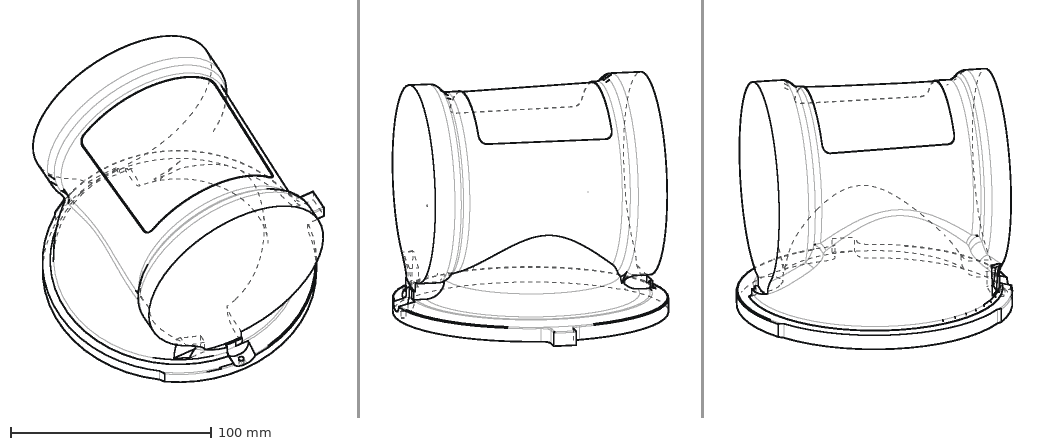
import cadquery as cq
import math

FLANGE_D = 138.0
FLANGE_R = FLANGE_D / 2
FLANGE_H = 7.4
EDGE_ROUND = 0.6
PLATFORM_R = 60.2
PLATFORM_ROUND = 4.5
PLATFORM_Z = 9.6
SLOPE_R = FLANGE_R - EDGE_ROUND

RELIEF_R = 68.0
RELIEF_INNER_ANGLE = 36.9
RELIEF_OUTER_ANGLE = 34.6

TAB_W = 11.5
TAB_END_Y = 79.9
TAB_ROOT_R = 4.7

AXIS_Z = 68.0
LEFT_X = -58.7
RIGHT_X = 59.8
LEFT_COLLAR_R = 50.9
RIGHT_COLLAR_D = 99.5
RIGHT_COLLAR_R = RIGHT_COLLAR_D / 2
BODY_LEFT_X = -36.4
BODY_LEFT_R = 47.2
BODY_RIGHT_X = 41.3
BODY_RIGHT_R = 45.4
LEFT_BLEND_X = -43.8
RIGHT_BLEND_X = 49.9
RIGHT_SLOPE_RUN = 1.5

PANEL_X0 = -33.7
PANEL_X1 = 34.0
PANEL_Z = 95.3
PANEL_CORNER_R = 3.7
PANEL_DEPTH = 0.5

DOME_BASE = (62.6, 10.4)
DOME_MID = (58.3, 39.2)
DOME_TOP = (39.0, 74.0)
DOME_FOOT_R = 1.6
DOME_END_Y = -0.6
BARREL_BLEND_R = 4.9

STEP_R = 60.7
STEP_END_Y = 3.0

NECK_WALL_R = 44.8
NECK_FOOT_R = 9.6
NECK_BLEND_R = 7.4
NECK_TOP = (40.8, 59.2)

CLEARANCE_GAP = 4.6

SEAT_W = 12.6
SEAT_X = 60.7
SEAT_FLOOR_RUN = 1.6
SEAT_Z = 3.7
SEAT_ROUND = 5.2
SCREW_X = 65.1
SCREW_D = 2.5

NOTCH_X = 53.7
NOTCH_TOP_W = 5.3
NOTCH_BOTTOM_W = 3.5
NOTCH_Z0 = 11.7
NOTCH_Z1 = 27.2
NOTCH_FLOOR_Y = -17.2

FAR = 103.5


def polar(radius, degrees):
    angle = math.radians(degrees)
    return (radius * math.cos(angle), radius * math.sin(angle))


def box(x0, x1, y0, y1, z0, z1):
    return cq.Workplane("XY").box(x1 - x0, y1 - y0, z1 - z0, centered=False).translate((x0, y0, z0))


def make_flange():
    """Round flange with a tab, a sloped raised platform and a relieved rim."""
    disc = cq.Workplane("XY").circle(FLANGE_R).extrude(FLANGE_H)
    tab = box(-TAB_W / 2, TAB_W / 2, 0, TAB_END_Y, 0, FLANGE_H)
    flange = disc.union(tab)
    root = cq.selectors.BoxSelector((-TAB_W, 0, 0), (TAB_W, FLANGE_R, FLANGE_H))
    flange = flange.edges("|Z").edges(root).fillet(TAB_ROOT_R)
    flange = flange.faces(">Z").edges().fillet(EDGE_ROUND)
    platform = (
        cq.Workplane("XZ")
        .polyline([(0, 0), (SLOPE_R, 0), (SLOPE_R, FLANGE_H), (PLATFORM_R, PLATFORM_Z), (0, PLATFORM_Z)])
        .close()
        .revolve(360, (0, 0), (0, 1))
    )
    platform = platform.faces(">Z").edges().fillet(PLATFORM_ROUND)
    relief = (
        cq.Workplane("XY")
        .moveTo(*polar(RELIEF_R, 180 + RELIEF_INNER_ANGLE))
        .threePointArc((0, -RELIEF_R), polar(RELIEF_R, -RELIEF_INNER_ANGLE))
        .lineTo(*polar(FLANGE_R, -RELIEF_OUTER_ANGLE))
        .lineTo(*polar(FAR, -RELIEF_OUTER_ANGLE))
        .lineTo(0, -FAR)
        .lineTo(*polar(FAR, 180 + RELIEF_OUTER_ANGLE))
        .lineTo(*polar(FLANGE_R, 180 + RELIEF_OUTER_ANGLE))
        .close()
        .extrude(PLATFORM_Z)
    )
    return flange.union(platform).cut(relief)


def spin_about_barrel(profile):
    """Revolve an (x, radius) profile about the barrel axis."""
    return profile.revolve(360, (0, 0), (1, 0)).translate((0, 0, AXIS_Z))


def barrel_cylinder(radius):
    """Plain cylinder about the barrel axis, running past both ends."""
    return cq.Workplane("YZ", origin=(0, 0, AXIS_Z)).circle(radius).extrude(FAR, both=True)


def make_barrel(left_x, right_x):
    """Tapered barrel whose S-shaped shoulders rise to the two collars."""
    left_mid = ((LEFT_BLEND_X + BODY_LEFT_X) / 2, (LEFT_COLLAR_R + BODY_LEFT_R) / 2)
    arc_run = (RIGHT_BLEND_X - BODY_RIGHT_X - RIGHT_SLOPE_RUN) / 2
    arc_rise = (RIGHT_COLLAR_R - BODY_RIGHT_R - RIGHT_SLOPE_RUN) / 2
    profile = (
        cq.Workplane("XZ")
        .moveTo(left_x, 0)
        .lineTo(left_x, LEFT_COLLAR_R)
        .lineTo(LEFT_BLEND_X, LEFT_COLLAR_R)
        .tangentArcPoint(left_mid, relative=False)
        .tangentArcPoint((BODY_LEFT_X, BODY_LEFT_R), relative=False)
        .lineTo(BODY_RIGHT_X, BODY_RIGHT_R)
        .tangentArcPoint((arc_run, arc_rise))
        .line(RIGHT_SLOPE_RUN, RIGHT_SLOPE_RUN)
        .tangentArcPoint((RIGHT_BLEND_X, RIGHT_COLLAR_R), relative=False)
        .lineTo(right_x, RIGHT_COLLAR_R)
        .lineTo(right_x, 0)
        .close()
    )
    return spin_about_barrel(profile)


def make_panel_recess():
    """Thin conical skin of the barrel inside the rounded panel outline."""
    skin = spin_about_barrel(
        cq.Workplane("XZ").polyline(
            [
                (BODY_LEFT_X, BODY_LEFT_R - PANEL_DEPTH),
                (BODY_RIGHT_X, BODY_RIGHT_R - PANEL_DEPTH),
                (BODY_RIGHT_X, BODY_RIGHT_R + PANEL_DEPTH),
                (BODY_LEFT_X, BODY_LEFT_R + PANEL_DEPTH),
            ]
        ).close()
    )
    outline = box(PANEL_X0, PANEL_X1, -FAR, FAR, PANEL_Z, PANEL_Z + FAR)
    outline = outline.edges("|Y and <Z").fillet(PANEL_CORNER_R)
    return skin.intersect(outline)


def front_half():
    """Space on the -Y side that bounds the dome."""
    return box(-FAR, FAR, -FAR, DOME_END_Y, 0, FAR)


def make_dome():
    """Domed half body on the -Y side."""
    base_r, base_z = DOME_BASE
    dome = (
        cq.Workplane("XZ")
        .lineTo(base_r, 0)
        .lineTo(base_r, base_z)
        .threePointArc(DOME_MID, DOME_TOP)
        .lineTo(0, DOME_TOP[1])
        .close()
        .revolve(360, (0, 0), (0, 1))
    )
    return dome.intersect(front_half())


def make_dome_foot():
    """Small concave round between the dome and the flange."""
    base_r, base_z = DOME_BASE
    foot = (
        cq.Workplane("XZ")
        .lineTo(base_r + DOME_FOOT_R, 0)
        .lineTo(base_r + DOME_FOOT_R, base_z - DOME_FOOT_R)
        .radiusArc((base_r, base_z), DOME_FOOT_R)
        .lineTo(0, base_z)
        .close()
        .revolve(360, (0, 0), (0, 1))
    )
    return foot.intersect(front_half())


def make_step():
    """Thin disc slice between the dome and the neck."""
    disc = cq.Workplane("XY").circle(STEP_R).extrude(AXIS_Z)
    return disc.intersect(box(-FAR, FAR, DOME_END_Y, STEP_END_Y, 0, FAR))


def make_neck():
    """Slightly tapered round neck with a wide concave foot."""
    foot_z = PLATFORM_Z + NECK_FOOT_R
    return (
        cq.Workplane("XZ")
        .lineTo(NECK_WALL_R + NECK_FOOT_R, 0)
        .lineTo(NECK_WALL_R + NECK_FOOT_R, PLATFORM_Z)
        .radiusArc((NECK_WALL_R, foot_z), NECK_FOOT_R)
        .lineTo(*NECK_TOP)
        .lineTo(0, NECK_TOP[1])
        .close()
        .revolve(360, (0, 0), (0, 1))
    )


def make_neck_blend():
    """Round between the neck wall and the underside of the left collar."""
    wall = cq.Workplane("XY").circle(NECK_WALL_R).extrude(AXIS_Z)
    wall = wall.intersect(box(-FAR, 0, 0, FAR, 0, AXIS_Z))
    body = wall.union(barrel_cylinder(LEFT_COLLAR_R))
    seam = body.edges("%BSPLINE").vals()
    blended = body.newObject(seam).fillet(NECK_BLEND_R)
    return blended.intersect(box(LEFT_X, LEFT_BLEND_X, STEP_END_Y, FAR, 0, AXIS_Z))


def make_clearance(end_x, collar_r, direction):
    """Cylindrical space beyond a collar end."""
    clear = cq.Workplane("YZ", origin=(end_x, 0, AXIS_Z)).circle(collar_r + CLEARANCE_GAP)
    return clear.extrude(direction * FAR)


def make_blended_body():
    """Dome and barrel with a round where they meet; the barrel runs past both ends."""
    body = make_dome().union(make_barrel(-FAR, FAR))
    in_front = cq.selectors.BoxSelector((-FAR, -FAR, 0), (FAR, 2 * DOME_END_Y, FAR))
    seam = body.edges(in_front).edges("%BSPLINE").vals()
    return body.newObject(seam).fillet(BARREL_BLEND_R)


def make_seat():
    """Round-bottomed channel open to the rim, with a screw hole through its floor."""
    channel = (
        cq.Workplane("XZ")
        .polyline(
            [
                (SEAT_X + SEAT_FLOOR_RUN, SEAT_Z),
                (FAR, SEAT_Z),
                (FAR, AXIS_Z),
                (SEAT_X, AXIS_Z),
                (SEAT_X, PLATFORM_Z),
            ]
        )
        .close()
        .extrude(SEAT_W / 2, both=True)
    )
    hole = cq.Workplane("XY").center(SCREW_X, 0).circle(SCREW_D / 2).extrude(AXIS_Z)
    return channel.edges("|X and <Z").fillet(SEAT_ROUND).union(hole)


def make_notch():
    """Pocket in the dome that stops at the underside of the right collar."""
    notch = (
        cq.Workplane("XZ", origin=(0, NOTCH_FLOOR_Y, 0))
        .polyline(
            [
                (NOTCH_X, NOTCH_Z0),
                (NOTCH_X + NOTCH_BOTTOM_W, NOTCH_Z0),
                (NOTCH_X + NOTCH_TOP_W, NOTCH_Z1),
                (NOTCH_X, NOTCH_Z1),
            ]
        )
        .close()
        .extrude(FAR)
    )
    return notch.cut(barrel_cylinder(RIGHT_COLLAR_R))


result = make_blended_body().union(make_step()).union(make_neck()).union(make_dome_foot())
result = result.cut(make_clearance(LEFT_X, LEFT_COLLAR_R, -1))
result = result.cut(make_clearance(RIGHT_X, RIGHT_COLLAR_R, 1))
result = result.union(make_flange()).union(make_neck_blend())
result = result.cut(make_panel_recess()).cut(make_seat()).cut(make_notch())